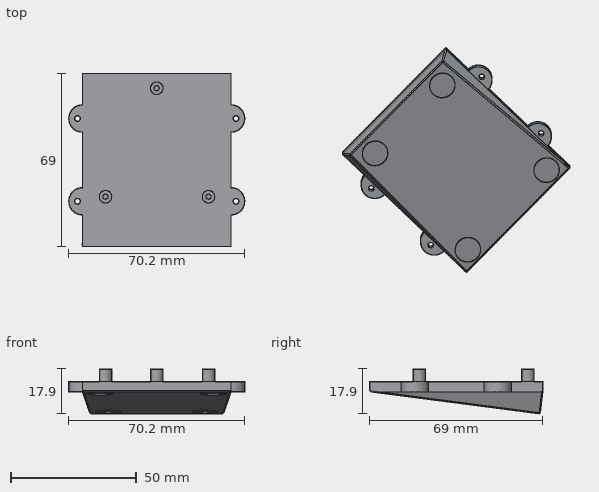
import cadquery as cq

plate_width = 59.2
plate_length = 69.0
plate_thickness = 4.1
half_width = plate_width / 2
half_length = plate_length / 2

overall_width = 70.15
ear_radius = (overall_width - plate_width) / 2
ear_y = 16.5
ear_hole_x = 31.6
ear_hole_diameter = 2.2

standoff_diameter = 5.0
standoff_height = 5.0
standoff_hole_diameter = 2.0
standoff_places = [(0, 28.55), (-20.4, -14.65), (20.6, -14.65)]

wedge_depth = 8.85
side_inset = 3.0
back_inset = 1.05
edge_chamfer = 0.5

recess_diameter = 10.2
recess_depth = 0.5
recess_pairs = [(22.5, -28.35), (19.2, 26.4)]

deep_y = half_length - back_inset
wedge_run = deep_y + half_length


def underside_z(y):
    """Height of the sloping underside at a given Y."""
    return -wedge_depth * (y + half_length) / wedge_run


def make_wedge():
    """Wedge with a sloping underside and tapered sides."""
    side_profile = (
        cq.Workplane("YZ")
        .polyline([(-half_length, 0), (half_length, 0), (deep_y, -wedge_depth)])
        .close()
        .extrude(half_width, both=True)
    )
    deep_half_width = half_width - side_inset
    end_profile = (
        cq.Workplane("XZ")
        .polyline([
            (-half_width, 0),
            (half_width, 0),
            (deep_half_width, -wedge_depth),
            (-deep_half_width, -wedge_depth),
        ])
        .close()
        .extrude(half_length, both=True)
    )
    return side_profile.intersect(end_profile)


def make_ears():
    """Four ear discs, reaching inward into the plate."""
    places = [(x, y) for x in (-half_width, half_width) for y in (-ear_y, ear_y)]
    return cq.Workplane("XY").pushPoints(places).circle(ear_radius).extrude(plate_thickness)


def make_ear_holes():
    """Cutters for the through holes in the ears."""
    places = [(x, y) for x in (-ear_hole_x, ear_hole_x) for y in (-ear_y, ear_y)]
    return (
        cq.Workplane("XY")
        .workplane(offset=-wedge_depth)
        .pushPoints(places)
        .circle(ear_hole_diameter / 2)
        .extrude(wedge_depth + plate_thickness)
    )


def make_standoffs():
    """Standoffs with a blind hole as deep as the standoff is tall."""
    return (
        cq.Workplane("XY")
        .workplane(offset=plate_thickness)
        .pushPoints(standoff_places)
        .circle(standoff_diameter / 2)
        .circle(standoff_hole_diameter / 2)
        .extrude(standoff_height)
    )


def make_recesses():
    """Cutters for the recesses, square to the sloping underside."""
    inward = cq.Vector(0, wedge_depth, wedge_run).normalized()
    cutters = cq.Workplane("XY")
    for half_spacing, y in recess_pairs:
        for x in (-half_spacing, half_spacing):
            center = cq.Vector(x, y, underside_z(y))
            cutters = cutters.add(
                cq.Solid.makeCylinder(recess_diameter / 2, recess_depth, center, inward)
            )
    return cutters.combine()


plate = cq.Workplane("XY").box(plate_width, plate_length, plate_thickness, centered=(True, True, False))
body = plate.union(make_wedge())
body = body.faces("<Z").edges().chamfer(edge_chamfer)
body = body.union(make_ears()).cut(make_ear_holes())
body = body.union(make_standoffs())
result = body.cut(make_recesses())